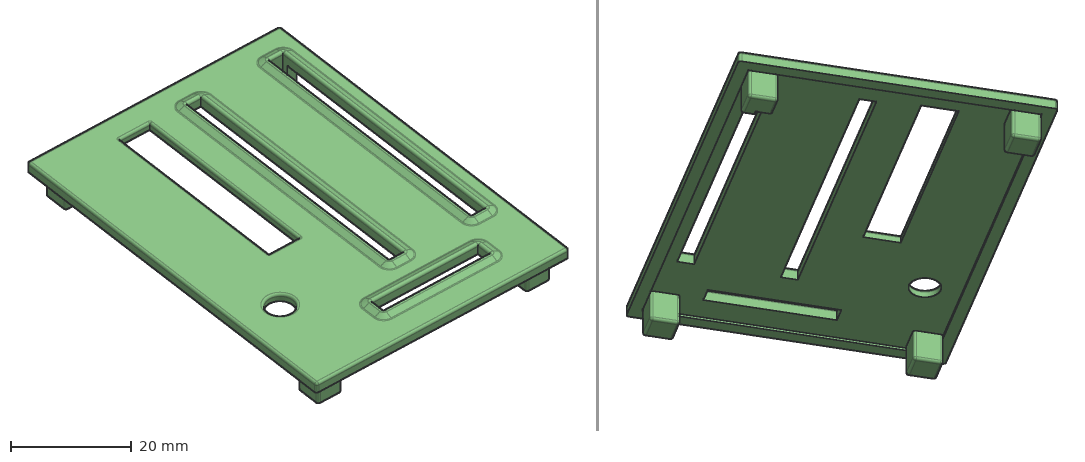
import cadquery as cq
import math

plate_length = 74.6
plate_width = 54.5
plate_thickness = 2.1
edge_radius = 0.5
recess_depth = 0.5

foot_size = 5.15
foot_height = 5.2
foot_inset = 2.2

slot_width = 2.9
long_slot_length = 52.0
short_slot_length = 22.8
rim_width = 2.0
rim_slope = math.atan2(1, 2)
crest_radius = 0.5
root_radius = 0.5

long_slot_x = -5.1
upper_slot_y = 21.3
long_slot_spacing = 17.7
short_slot_x = 28.87
short_slot_y = 4.45

window_length = 38.4
window_width = 6.4
window_x = -12.7
window_y = -8.5

hole_diameter = 5.4
hole_x = 17.8
hole_y = -18.75

slots = [
    (long_slot_x, upper_slot_y, long_slot_length, slot_width),
    (long_slot_x, upper_slot_y - long_slot_spacing, long_slot_length, slot_width),
    (short_slot_x, short_slot_y, slot_width, short_slot_length),
]


def make_plate():
    """Plate with rounded corners and top edge, recessed underneath; its border stands on Z = 0."""
    plate = cq.Workplane("XY").box(plate_length, plate_width, plate_thickness, centered=(True, True, False))
    plate = plate.edges("|Z or >Z").fillet(edge_radius)
    recess = cq.Workplane("XY").rect(plate_length - 2 * foot_inset, plate_width - 2 * foot_inset)
    return plate.cut(recess.extrude(recess_depth))


def make_feet():
    """Four square feet with rounded sides and bottom edges, inset from the plate corners."""
    pitch_x = plate_length - 2 * foot_inset - foot_size
    pitch_y = plate_width - 2 * foot_inset - foot_size
    feet = (
        cq.Workplane("XY", origin=(0, 0, recess_depth))
        .rect(pitch_x, pitch_y, forConstruction=True)
        .vertices()
        .rect(foot_size, foot_size)
        .extrude(-recess_depth - foot_height)
    )
    return feet.edges("|Z or <Z").fillet(edge_radius)


def make_rim(x, y, size_x, size_y):
    """Rim section swept round the slot outline, turning about each slot corner."""
    sine = math.sin(rim_slope)
    cosine = math.cos(rim_slope)
    tangent = math.tan(rim_slope)

    crest_x = crest_radius
    crest_z = (rim_width - crest_radius) * tangent - crest_radius / cosine
    crest_middle_angle = (math.pi + math.pi / 2 - rim_slope) / 2
    crest_start = (0, crest_z)
    crest_middle = (
        crest_x + crest_radius * math.cos(crest_middle_angle),
        crest_z + crest_radius * math.sin(crest_middle_angle),
    )
    crest_end = (crest_x + crest_radius * sine, crest_z + crest_radius * cosine)

    run_out = root_radius * math.tan(rim_slope / 2)
    root_x = rim_width + run_out
    root_start = (root_x - root_radius * sine, root_radius * (1 - cosine))
    root_middle = (
        root_x - root_radius * math.sin(rim_slope / 2),
        root_radius * (1 - math.cos(rim_slope / 2)),
    )
    root_end = (root_x, 0)

    embedded_z = recess_depth - plate_thickness
    section = (
        cq.Workplane("XZ", origin=(x + size_x / 2, y, plate_thickness))
        .moveTo(0, embedded_z)
        .lineTo(*crest_start)
        .threePointArc(crest_middle, crest_end)
        .lineTo(*root_start)
        .threePointArc(root_middle, root_end)
        .lineTo(root_x, embedded_z)
        .close()
    )
    path = rectangle_path(x, y, plate_thickness, size_x, size_y)
    return section.sweep(path, transition="round")


def rectangle_path(x, y, z, size_x, size_y):
    """Closed rectangle that starts at the middle of its +X side."""
    return (
        cq.Workplane("XY", origin=(x, y, z))
        .moveTo(size_x / 2, 0)
        .lineTo(size_x / 2, size_y / 2)
        .lineTo(-size_x / 2, size_y / 2)
        .lineTo(-size_x / 2, -size_y / 2)
        .lineTo(size_x / 2, -size_y / 2)
        .close()
    )


def make_window():
    """Straight rectangular opening with a rounded top edge that turns about each corner."""
    opening = cq.Workplane("XY").center(window_x, window_y).rect(window_length, window_width)
    opening = opening.extrude(plate_thickness)
    arc_rise = edge_radius * (1 - math.sqrt(0.5))
    section = (
        cq.Workplane("XZ", origin=(window_x + window_length / 2, window_y, plate_thickness))
        .moveTo(0, -edge_radius)
        .threePointArc((arc_rise, -arc_rise), (edge_radius, 0))
        .lineTo(0, 0)
        .close()
    )
    path = rectangle_path(window_x, window_y, plate_thickness, window_length, window_width)
    return opening.union(section.sweep(path, transition="round"))


def make_hole():
    """Straight round opening with a rounded top edge."""
    arc_rise = edge_radius * (1 - math.sqrt(0.5))
    hole_radius = hole_diameter / 2
    return (
        cq.Workplane("XZ", origin=(hole_x, hole_y, 0))
        .lineTo(hole_radius, 0)
        .lineTo(hole_radius, plate_thickness - edge_radius)
        .threePointArc(
            (hole_radius + arc_rise, plate_thickness - arc_rise),
            (hole_radius + edge_radius, plate_thickness),
        )
        .lineTo(0, plate_thickness)
        .close()
        .revolve(360, (0, 0, 0), (0, 1, 0))
    )


def make_slot(x, y, size_x, size_y):
    """Straight slot that runs on down to the bottom of the feet, so it also trims a foot it meets."""
    outline = cq.Workplane("XY", origin=(x, y, -foot_height)).rect(size_x, size_y)
    return outline.extrude(foot_height + plate_thickness)


result = make_plate().union(make_feet()).cut(make_window()).cut(make_hole())
for slot in slots:
    result = result.cut(make_slot(*slot)).union(make_rim(*slot))